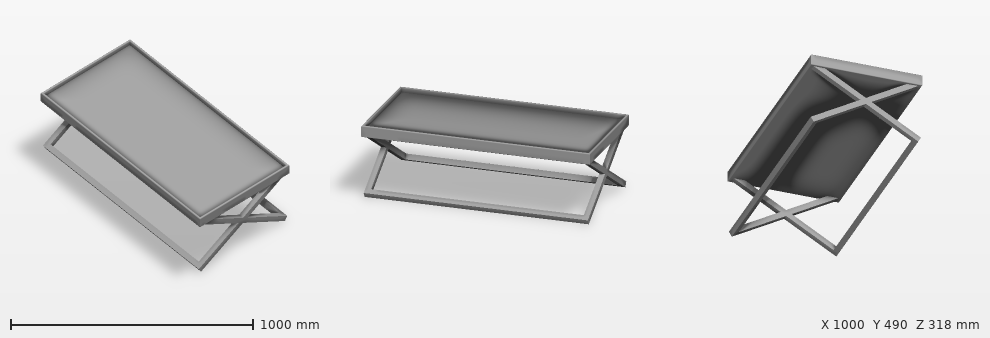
import cadquery as cq
import math

tray_length = 1000.0
tray_width = 490.0
tray_height = 50.0
rim_width = 10.0
tray_depth = 22.0
rim_round = 4.5
bottom_round = 3.0

total_height = 318.0
bar_size = 25.0
bar_angle = 30.2
stand_inset = 10.0
foot_reach = 230.0

tray_bottom = total_height - tray_height
half_bar = bar_size / 2
slope = math.radians(bar_angle)

crossing_height = foot_reach * math.tan(slope) + half_bar / math.cos(slope)

foot_distance = (foot_reach + half_bar * math.sin(slope)) / math.cos(slope)
leg_center_x = tray_length / 2 - stand_inset - half_bar
rail_length = 2 * leg_center_x - bar_size


def make_tray():
    """Shallow tray with rounded rim and lower edges, open at the top."""
    blank = (
        cq.Workplane("XY")
        .workplane(offset=tray_bottom)
        .rect(tray_length, tray_width)
        .extrude(tray_height)
        .faces("<Z").edges().fillet(bottom_round)
    )
    recess = (
        cq.Workplane("XY")
        .workplane(offset=total_height)
        .rect(tray_length - 2 * rim_width, tray_width - 2 * rim_width)
        .extrude(-tray_depth)
    )
    return blank.cut(recess).faces(">Z").edges().fillet(rim_round)


def make_bar(side):
    """Sloping bar with its square-cut foot on the given Y side (-1 or 1)."""
    upper_distance = tray_width
    return (
        cq.Workplane("XY")
        .box(bar_size, foot_distance + upper_distance, bar_size)
        .translate((0, side * (foot_distance - upper_distance) / 2, 0))
        .rotate((0, 0, 0), (1, 0, 0), -side * bar_angle)
        .translate((0, 0, crossing_height))
    )


def make_cross_leg(x_center):
    """X-shaped leg cut level where it meets the tray; the crossing edges are kept on its faces."""
    headroom = (
        cq.Workplane("XY")
        .workplane(offset=tray_bottom)
        .rect(bar_size, 4 * tray_width)
        .extrude(2 * tray_width)
    )
    cross = make_bar(-1).union(make_bar(1), clean=False)
    return cross.cut(headroom, clean=False).translate((x_center, 0, 0))


def make_foot_rail(side):
    """Rail joining the two legs' feet on the given Y side, flush with the bars."""
    rail_distance = foot_distance - half_bar
    return (
        cq.Workplane("XY")
        .box(rail_length, bar_size, bar_size)
        .translate((0, side * rail_distance, 0))
        .rotate((0, 0, 0), (1, 0, 0), -side * bar_angle)
        .translate((0, 0, crossing_height))
    )


tray = make_tray()
cross_legs = [make_cross_leg(side * leg_center_x) for side in (-1, 1)]
foot_rails = [make_foot_rail(side) for side in (-1, 1)]

result = cq.Compound.makeCompound(
    [tray.val()]
    + [solid for leg in cross_legs for solid in leg.solids().vals()]
    + [rail.val() for rail in foot_rails]
)